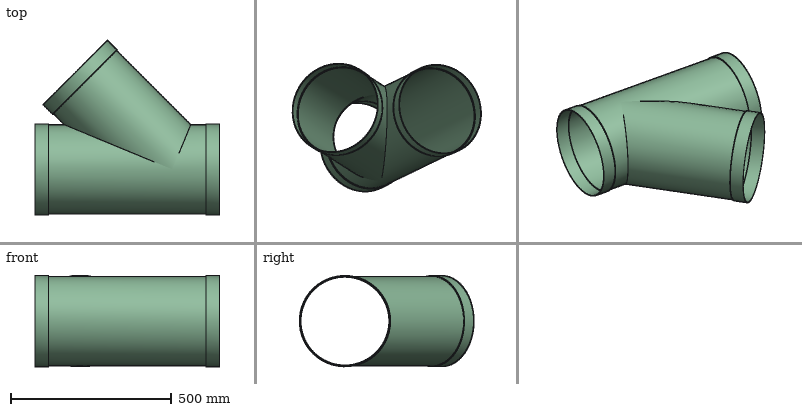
import cadquery as cq

run_length = 576.0
collar_diameter = 285.0
pipe_diameter = 280.0
bore_diameter = 275.0
collar_length = 42.5
collar_overlap = 1.0
junction_x = 428.5
branch_length = 428.0
branch_angle = 45.0

socket_depth = collar_length - collar_overlap

left_end = cq.Plane(origin=(0, 0, 0), xDir=(0, 1, 0), normal=(-1, 0, 0))
right_end = cq.Plane(origin=(run_length, 0, 0), xDir=(0, 1, 0), normal=(1, 0, 0))
junction = cq.Plane(origin=(junction_x, 0, 0), xDir=(0, 0, 1), normal=(-1, 0, 0))
junction = junction.rotated((-branch_angle, 0, 0))
branch_end = cq.Plane(
    origin=junction.toWorldCoords((0, 0, branch_length)),
    xDir=junction.xDir,
    normal=junction.zDir,
)
open_ends = [left_end, right_end, branch_end]


def bar(end_plane, diameter, length):
    """Round bar running inward from an open end."""
    return cq.Workplane(end_plane).circle(diameter / 2).extrude(-length)


def wye(diameter):
    """Run and branch bars of one diameter, joined at the junction."""
    run = bar(left_end, diameter, run_length)
    branch = bar(branch_end, diameter, branch_length + diameter)
    branch_side = cq.Workplane("XY").box(
        2 * run_length, 2 * run_length, run_length, centered=(True, False, True)
    )
    return run.union(branch.intersect(branch_side))


result = wye(pipe_diameter)
for end_plane in open_ends:
    result = result.union(bar(end_plane, collar_diameter, collar_length))

result = result.cut(wye(bore_diameter))
for end_plane in open_ends:
    result = result.cut(bar(end_plane, pipe_diameter, socket_depth))